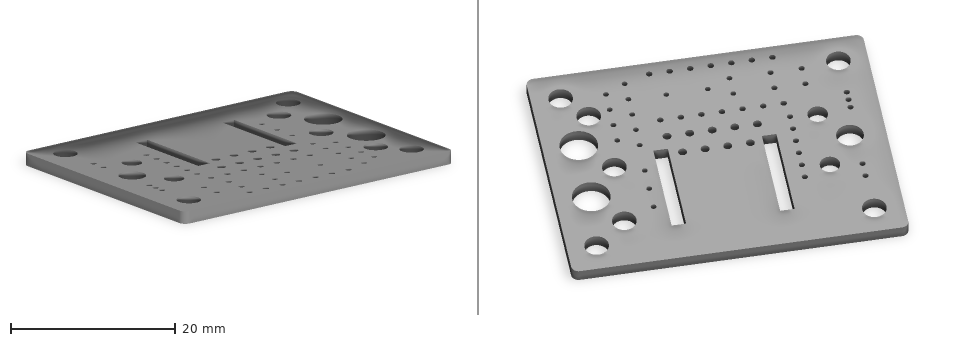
import cadquery as cq

WIDTH = 32.0
LENGTH = 41.75
THICKNESS = 1.6
CORNER_RADIUS = 0.9

MOUNT_DIAMETER = 3.0
LARGE_DIAMETER = 4.7
POST_DIAMETER = 3.4
SIDE_POST_DIAMETER = 2.5
SOCKET_PIN_DIAMETER = 1.1
CHIP_PIN_DIAMETER = 0.8
HEADER_PIN_DIAMETER = 0.75
LEAD_DIAMETER = 0.7

PIN_PITCH = 2.55
SOCKET_PITCH = 2.8
HEADER_PITCH = 2.0
TRIO_PITCH = 1.25
LEAD_PITCH = 3.0

MOUNT_X = 12.25
MOUNT_Y = 17.2
LARGE_X = 4.25
LARGE_Y = 16.4
UPPER_HOLE_CENTRES = [(-8.85, 13.15), (0, 12.78), (8.75, 14.35)]
SIDE_POST_Y = -13.15
SIDE_POST_CENTRES = [(-4.25, SIDE_POST_Y), (4.1, SIDE_POST_Y)]
POST_Y = -16.4

SLOT_LENGTH = 12.45
SLOT_WIDTH = 1.8
SLOT_X = -4.43
SLOT_Y = 6.72

SOCKET_INNER_X = 0.95
SOCKET_OUTER_X = 3.85
SOCKET_TOP_Y = 5.55

CHIP_LEFT_X = 6.6
CHIP_RIGHT_X = 14.25
CHIP_TOP_Y = 5.9
CHIP_PIN_COUNT = 7

LEAD_PAIR_X = 9.25
VERTICAL_LEAD_X = LEAD_PAIR_X + PIN_PITCH / 2
VERTICAL_LEAD_YS = [4.43, -0.7]
LEAD_PAIR_Y = -3.65
HEADER_PAIR_YS = [-8.73, -12.55]

HEADER_SIX_START = (-5.7, -9.75)
HEADER_TWO_START = (-6.85, -17.08)
HEADER_TRIO_START = (4.5, -17.3)
LEAD_FOUR_START = (4.25, 11.65)
LEAD_FIVE_START = (3.0, 9.1)
LEAD_THREE_START = (-7.22, 9.23)


def row(start, pitch, count):
    """Centres running in +X from the first hole."""
    start_x, y = start
    return [(start_x + i * pitch, y) for i in range(count)]


def column(x, top_y, pitch, count):
    """Centres running in -Y from the top hole."""
    return [(x, top_y - i * pitch) for i in range(count)]


def drill(body, diameter, centres):
    """Cut round through holes at the given centres."""
    cutters = cq.Workplane("XY").pushPoints(centres).circle(diameter / 2).extrude(THICKNESS)
    return body.cut(cutters)


plate = cq.Workplane("XY").box(WIDTH, LENGTH, THICKNESS, centered=(True, True, False))
plate = plate.edges("|Z").fillet(CORNER_RADIUS)

mount_centres = [(x, y) for x in (-MOUNT_X, MOUNT_X) for y in (-MOUNT_Y, MOUNT_Y)]
plate = drill(plate, MOUNT_DIAMETER, mount_centres + UPPER_HOLE_CENTRES)

plate = drill(plate, LARGE_DIAMETER, [(-LARGE_X, LARGE_Y), (LARGE_X, LARGE_Y)])

plate = drill(plate, POST_DIAMETER, [(0, POST_Y)])
plate = drill(plate, SIDE_POST_DIAMETER, SIDE_POST_CENTRES)

slots = (
    cq.Workplane("XY")
    .pushPoints([(SLOT_X, SLOT_Y), (SLOT_X, -SLOT_Y)])
    .rect(SLOT_LENGTH, SLOT_WIDTH)
    .extrude(THICKNESS)
)
plate = plate.cut(slots)

socket_pins = column(SOCKET_OUTER_X, SOCKET_TOP_Y, SOCKET_PITCH, 5)
socket_pins += column(SOCKET_INNER_X, SOCKET_TOP_Y - SOCKET_PITCH / 2, SOCKET_PITCH, 4)
plate = drill(plate, SOCKET_PIN_DIAMETER, socket_pins)

chip_pins = column(CHIP_LEFT_X, CHIP_TOP_Y, PIN_PITCH, CHIP_PIN_COUNT)
chip_pins += column(CHIP_RIGHT_X, CHIP_TOP_Y, PIN_PITCH, CHIP_PIN_COUNT)
plate = drill(plate, CHIP_PIN_DIAMETER, chip_pins)

header_pins = row(HEADER_SIX_START, HEADER_PITCH, 6)
header_pins += row(HEADER_TWO_START, HEADER_PITCH, 2)
header_pins += row(HEADER_TRIO_START, TRIO_PITCH, 3)
for pair_y in HEADER_PAIR_YS:
    header_pins += row((LEAD_PAIR_X, pair_y), PIN_PITCH, 2)
plate = drill(plate, HEADER_PIN_DIAMETER, header_pins)

leads = row(LEAD_FOUR_START, PIN_PITCH, 4)
leads += row(LEAD_FIVE_START, PIN_PITCH, 5)
leads += row(LEAD_THREE_START, LEAD_PITCH, 3)
leads += [(VERTICAL_LEAD_X, y) for y in VERTICAL_LEAD_YS]
leads += row((LEAD_PAIR_X, LEAD_PAIR_Y), PIN_PITCH, 2)
plate = drill(plate, LEAD_DIAMETER, leads)

result = plate